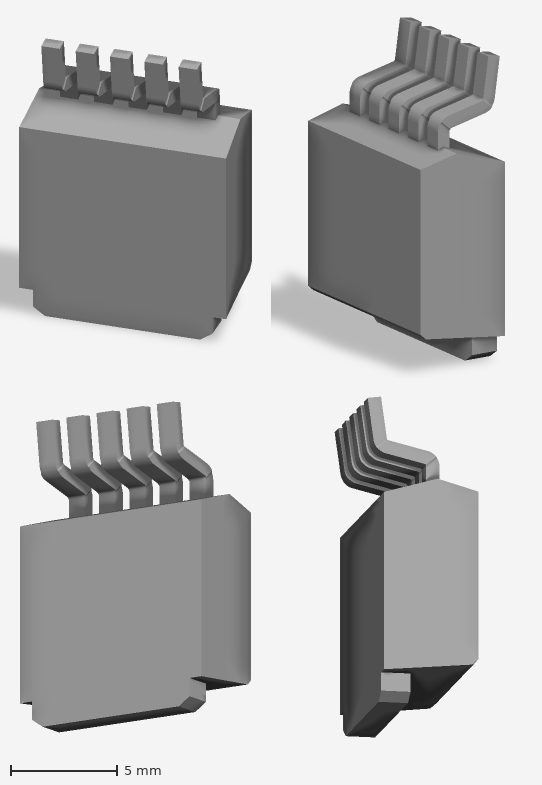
import cadquery as cq
import math


housing_width = 10.24
housing_depth = 4.57
housing_bottom = 1.3
front_eave_height = 9.84
back_eave_height = 10.1
ridge_height = 10.62
front_draft = 3.0
back_draft = 2.5
underside_slope = 6.1
back_chamfer_depth = 0.3
back_chamfer_height = 0.26

tab_width = 8.88
tab_thickness = 1.41
tab_corner_width = 0.6
tab_corner_height = 0.41
pad_size = 5.07

lead_count = 5
lead_span = 6.8
lead_pitch = lead_span / (lead_count - 1)
lead_thickness = 0.65
lead_width = 0.91
lead_middle_width = 1.01
lead_centre_y = 2.6
lower_bend_height = 11.78
upper_bend_y = 0.12
middle_rise = 13.0
tip_lean = 8.0
inner_bend_radius = 0.1
outer_bend_radius = inner_bend_radius + lead_thickness
cove_length = 0.12
lead_top = 14.71
lead_bottom = front_eave_height

parting_y = lead_centre_y - lead_thickness / 2


def sin(degrees):
    return math.sin(math.radians(degrees))


def cos(degrees):
    return math.cos(math.radians(degrees))


def tan(degrees):
    return math.tan(math.radians(degrees))


upper_bend_height = lower_bend_height + (lead_centre_y - upper_bend_y) * tan(middle_rise)
tip_height = lead_top - lead_thickness / 2 * sin(tip_lean)
tip_y = upper_bend_y - (tip_height - upper_bend_height) * tan(tip_lean)
lower_bend = (lead_centre_y, lower_bend_height)
upper_bend = (upper_bend_y, upper_bend_height)

lower_miter = (90 - middle_rise) / 2
upper_miter = (90 - middle_rise + tip_lean) / 2


def shifted(point, distance, fall):
    """Move a (Y, Z) point towards the front, along a line falling at the given angle."""
    y, z = point
    return (y - distance * cos(fall), z - distance * sin(fall))


def make_wide_lead():
    """The bent strip at the width of its middle length, with rounded bends."""
    half = lead_thickness / 2
    lower_half = half / cos(lower_miter)
    upper_half = half / cos(upper_miter - tip_lean)
    base = (lead_centre_y, lead_bottom)
    tip = (tip_y, tip_height)
    front_edge = [
        shifted(base, half, 0),
        shifted(lower_bend, lower_half, lower_miter),
        shifted(upper_bend, upper_half, upper_miter),
        shifted(tip, half, tip_lean),
    ]
    back_edge = [
        shifted(tip, -half, tip_lean),
        shifted(upper_bend, -upper_half, upper_miter),
        shifted(lower_bend, -lower_half, lower_miter),
        shifted(base, -half, 0),
    ]
    rounded_corners = [
        (front_edge[1], inner_bend_radius),
        (front_edge[2], outer_bend_radius),
        (back_edge[1], inner_bend_radius),
        (back_edge[2], outer_bend_radius),
    ]
    strip = (
        cq.Workplane("YZ")
        .polyline(front_edge + back_edge)
        .close()
        .extrude(lead_middle_width / 2, both=True)
    )
    for (y, z), radius in rounded_corners:
        corner_edge = cq.selectors.NearestToPointSelector((0, y, z))
        strip = strip.edges("|X").edges(corner_edge).fillet(radius)
    return strip


def make_width_envelope():
    """Prism along the mean miter line: wide between the bends, narrowing in coves beyond them."""
    fall = (lower_miter + upper_miter) / 2
    centre_y = (lower_bend[0] + upper_bend[0]) / 2
    centre_z = (lower_bend[1] + upper_bend[1]) / 2
    bend_gap_y = lower_bend[0] - upper_bend[0]
    bend_gap_z = upper_bend[1] - lower_bend[1]
    shoulder = (bend_gap_y * sin(fall) + bend_gap_z * cos(fall)) / 2
    narrow = lead_width / 2
    wide = lead_middle_width / 2
    step = wide - narrow
    cove_radius = (step**2 + cove_length**2) / (2 * step)
    reach = lead_top / 2
    plane = cq.Plane(
        origin=(0, centre_y, centre_z),
        xDir=(1, 0, 0),
        normal=(0, cos(fall), sin(fall)),
    )
    return (
        cq.Workplane(plane)
        .moveTo(narrow, -reach)
        .lineTo(narrow, -shoulder - cove_length)
        .radiusArc((wide, -shoulder), cove_radius)
        .lineTo(wide, shoulder)
        .radiusArc((narrow, shoulder + cove_length), cove_radius)
        .lineTo(narrow, reach)
        .lineTo(-narrow, reach)
        .lineTo(-narrow, shoulder + cove_length)
        .radiusArc((-wide, shoulder), cove_radius)
        .lineTo(-wide, -shoulder)
        .radiusArc((-narrow, -shoulder - cove_length), cove_radius)
        .lineTo(-narrow, -reach)
        .close()
        .extrude(reach, both=True)
    )


def make_leads():
    """A row of equal leads, each one a separate solid."""
    lead = make_wide_lead().intersect(make_width_envelope())
    return [
        lead.translate((index * lead_pitch - lead_span / 2, 0, 0))
        for index in range(lead_count)
    ]


def make_tab():
    """Heat tab: a bar below the housing with clipped lower corners, and a square pad above it."""
    corner_x = tab_width / 2 - tab_corner_width
    bar = (
        cq.Workplane("XZ")
        .polyline([
            (-corner_x, 0),
            (corner_x, 0),
            (tab_width / 2, tab_corner_height),
            (tab_width / 2, housing_bottom),
            (-tab_width / 2, housing_bottom),
            (-tab_width / 2, tab_corner_height),
        ])
        .close()
        .extrude(-tab_thickness)
    )
    pad = (
        cq.Workplane("XY", origin=(0, 0, housing_bottom))
        .box(pad_size, tab_thickness, pad_size, centered=(True, False, False))
    )
    return bar.union(pad)


def make_housing(tab, leads):
    """Gabled block with drafted side walls, recessed to take the tab and the leads."""
    chamfer_y = housing_depth - back_chamfer_depth
    chamfer_z = housing_bottom + chamfer_y * tan(underside_slope)
    block = (
        cq.Workplane("YZ")
        .polyline([
            (0, housing_bottom),
            (chamfer_y, chamfer_z),
            (housing_depth, chamfer_z + back_chamfer_height),
            (housing_depth, back_eave_height),
            (lead_centre_y, ridge_height),
            (0, front_eave_height),
        ])
        .close()
        .extrude(housing_width / 2, both=True)
    )
    front_x = housing_width / 2
    parting_x = front_x - parting_y * tan(front_draft)
    back_x = parting_x - (housing_depth - parting_y) * tan(back_draft)
    drafted_plan = (
        cq.Workplane("XY")
        .polyline([
            (-front_x, 0),
            (front_x, 0),
            (parting_x, parting_y),
            (back_x, housing_depth),
            (-back_x, housing_depth),
            (-parting_x, parting_y),
        ])
        .close()
        .extrude(lead_top)
    )
    housing = block.intersect(drafted_plan).cut(tab)
    for lead in leads:
        housing = housing.cut(lead)
    return housing


tab = make_tab()
leads = make_leads()
housing = make_housing(tab, leads)

result = cq.Compound.makeCompound([housing.val(), tab.val(), *[lead.val() for lead in leads]])